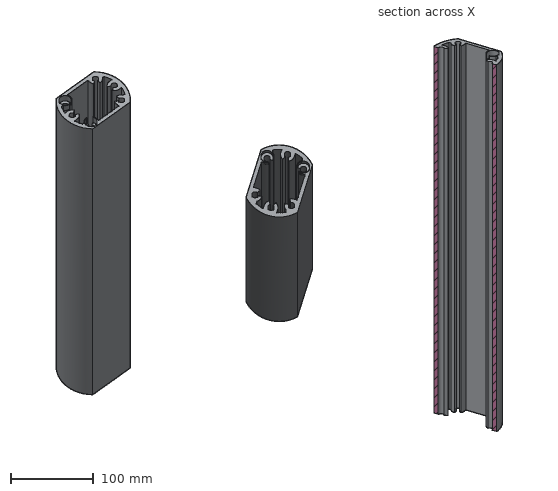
import cadquery as cq
import math

LENGTH = 500.0
WIDTH = 65.0
OUTER_RADIUS = 45.0

SIDE_WALL = 5.0
CAVITY_RADIUS = 39.5

PORT_HOLE_RADIUS = 3.75
PORT_OUTER_RADIUS = 8.5
MOUTH_HALF_ANGLE = 28.0
MOUTH_REACH = 1.5 * PORT_OUTER_RADIUS
END_PORT_Y = 34.5
CORNER_PORT_X = 23.0
CORNER_PORT_Y = 25.0
CORNER_MOUTH_ANGLE = -31.0
CORNER_FILL_X = 18.5

SEAT_RADIUS = 7.5
SEAT_DEPTH = 10.0


def flat_sided_round(radius, width):
    """Full-length cylinder with its two X sides cut flat."""
    cylinder = cq.Workplane("XY").circle(radius).extrude(LENGTH)
    slab = cq.Workplane("XY").rect(width, 2 * radius).extrude(LENGTH)
    return cylinder.intersect(slab)


def block(x_min, x_max, y_min, y_max):
    """Full-length rectangular bar between the given limits."""
    bar = cq.Workplane("XY").center((x_min + x_max) / 2, (y_min + y_max) / 2)
    return bar.rect(x_max - x_min, y_max - y_min).extrude(LENGTH)


def post(x, y, radius):
    """Full-length round bar."""
    return cq.Workplane("XY").center(x, y).circle(radius).extrude(LENGTH)


def port_opening(x, y, mouth_angle):
    """Port hole plus the wedge-shaped mouth that opens it to the cavity."""
    corners = [(x, y)]
    for side in (-1, 1):
        angle = math.radians(mouth_angle + side * MOUTH_HALF_ANGLE)
        corners.append((x + MOUTH_REACH * math.cos(angle), y + MOUTH_REACH * math.sin(angle)))
    wedge = cq.Workplane("XY").polyline(corners).close().extrude(LENGTH)
    return post(x, y, PORT_HOLE_RADIUS).union(wedge)


def upper_port_walls():
    """Material around the three ports at the +Y end."""
    r = PORT_OUTER_RADIUS
    walls = post(0, END_PORT_Y, r).union(block(-r, r, END_PORT_Y, CAVITY_RADIUS))
    right_port = post(CORNER_PORT_X, CORNER_PORT_Y, r).union(
        block(CORNER_PORT_X, WIDTH / 2, CORNER_PORT_Y - r, CORNER_PORT_Y)
    )
    fill_top = math.sqrt(CAVITY_RADIUS**2 - CORNER_FILL_X**2)
    fill = block(CORNER_FILL_X, CORNER_PORT_X, CORNER_PORT_Y + r / 2, fill_top)
    right_port = right_port.union(fill)
    return walls.union(right_port).union(right_port.mirror("YZ"))


def upper_port_openings():
    """Holes and mouths of the three ports at the +Y end."""
    left = port_opening(-CORNER_PORT_X, CORNER_PORT_Y, CORNER_MOUTH_ANGLE)
    return port_opening(0, END_PORT_Y, -90).union(left).union(left.mirror("YZ"))


outer = flat_sided_round(OUTER_RADIUS, WIDTH)
cavity = flat_sided_round(CAVITY_RADIUS, WIDTH - 2 * SIDE_WALL)
tube = outer.cut(cavity)

walls = upper_port_walls()
openings = upper_port_openings()
tube = tube.union(walls).union(walls.mirror("XZ"))
tube = tube.cut(openings).cut(openings.mirror("XZ"))

for side in (-1, 1):
    seat = post(side * CORNER_PORT_X, -CORNER_PORT_Y, SEAT_RADIUS)
    tube = tube.cut(seat.translate((0, 0, LENGTH - SEAT_DEPTH)))

result = tube